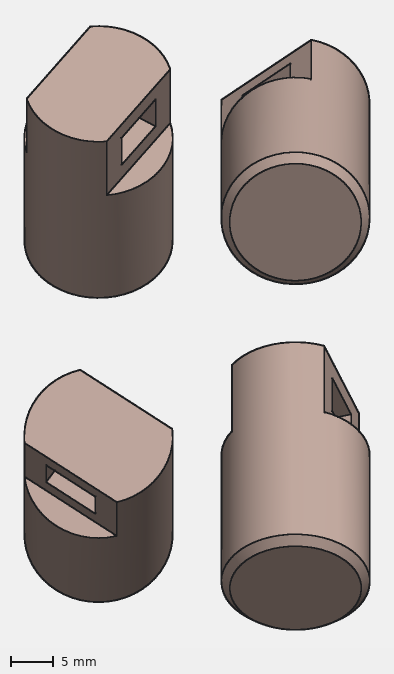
import cadquery as cq

height = 30.0
diameter = 17.3
bottom_chamfer = 1.0

tongue_thickness = 11.3
tongue_height = 10.0

window_width = 7.0
window_height = 5.0


def make_body():
    """Upright cylinder with a chamfered bottom edge."""
    body = cq.Workplane("XY").circle(diameter / 2).extrude(height)
    return body.faces("<Z").edges().chamfer(bottom_chamfer)


def make_flat_cutter(side):
    """Block that removes the material outside one flat; side is -1 or +1 along X."""
    cut_depth = (diameter - tongue_thickness) / 2
    centre_x = side * (tongue_thickness + cut_depth) / 2
    return (
        cq.Workplane("XY", origin=(centre_x, 0, height - tongue_height))
        .box(cut_depth, diameter, tongue_height, centered=(True, True, False))
    )


def make_window_cutter():
    """Block that passes through the tongue along X."""
    centre_z = height - tongue_height / 2
    return (
        cq.Workplane("XY", origin=(0, 0, centre_z))
        .box(diameter, window_width, window_height)
    )


result = make_body()
for side in (-1, 1):
    result = result.cut(make_flat_cutter(side))
result = result.cut(make_window_cutter())